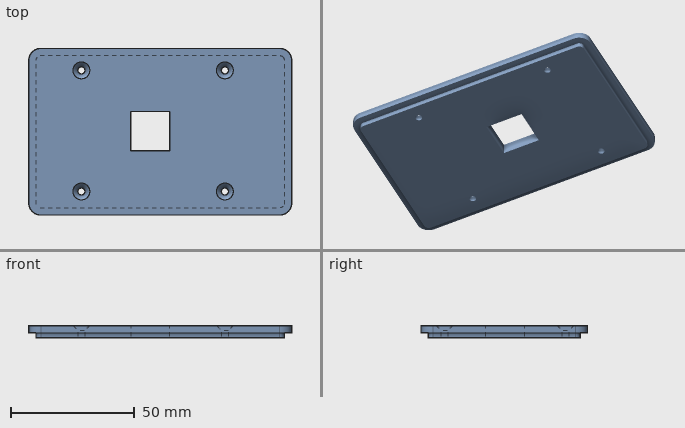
import cadquery as cq

plate_length = 106.4
plate_width = 67.5
total_height = 5.0
plate_thickness = 3.0
plate_corner_radius = 5.0

step_height = total_height - plate_thickness
step_inset = 3.0
step_corner_radius = 2.0

window_side = 15.8
window_center_x = -4.0
window_center_y = 0.2

hole_diameter = 2.8
countersink_diameter = 6.8
countersink_angle = 90.0
hole_spacing_x = 58.0
hole_spacing_y = 49.0
hole_pattern_center_x = -2.9
hole_pattern_center_y = 0.3


def rounded_slab(length, width, height, corner_radius):
    """Slab centred on the Z axis, resting on Z = 0, with rounded vertical edges."""
    slab = cq.Workplane("XY").box(length, width, height, centered=(True, True, False))
    return slab.edges("|Z").fillet(corner_radius)


step = rounded_slab(
    plate_length - 2 * step_inset,
    plate_width - 2 * step_inset,
    step_height,
    step_corner_radius,
)
plate = rounded_slab(plate_length, plate_width, plate_thickness, plate_corner_radius)
body = step.union(plate.translate((0, 0, step_height)))

window = (
    cq.Workplane("XY")
    .center(window_center_x, window_center_y)
    .rect(window_side, window_side)
    .extrude(total_height)
)
body = body.cut(window)

result = (
    body.faces(">Z")
    .workplane(origin=(hole_pattern_center_x, hole_pattern_center_y, total_height))
    .rarray(hole_spacing_x, hole_spacing_y, 2, 2)
    .cskHole(hole_diameter, countersink_diameter, countersink_angle)
)